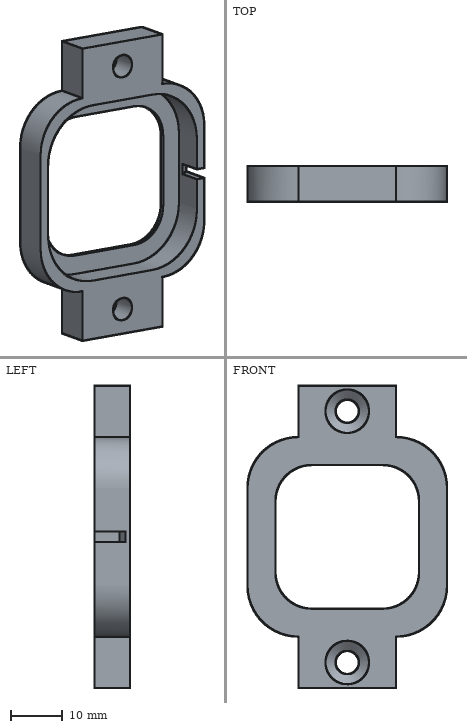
import cadquery as cq

height = 59.0
frame_size = 39.0
thickness = 7.0
frame_radius = 10.0
tab_width = frame_size - 2 * frame_radius
front_y = -thickness / 2
back_y = thickness / 2

window_size = 27.95
window_radius = 7.0
lip_thickness = 0.9
pocket_size = 35.4
pocket_radius = 10.6

hole_diameter = 4.5
countersink_diameter = 8.5
countersink_angle = 100
hole_spacing = 49.0

slot_height = 2.0
slot_ramp_rise = 1.2


def rounded_block(size, radius, start_y, end_y):
    """Square block with rounded corners, extending along Y."""
    block = cq.Workplane("XY").box(size, end_y - start_y, size)
    return block.edges("|Y").fillet(radius).translate((0, (start_y + end_y) / 2, 0))


body = rounded_block(frame_size, frame_radius, front_y, back_y)
body = body.union(cq.Workplane("XY").box(tab_width, thickness, height))

pocket_floor_y = front_y + lip_thickness
body = body.cut(rounded_block(window_size, window_radius, front_y, back_y))
pocket = rounded_block(pocket_size, pocket_radius, pocket_floor_y, back_y)
body = body.cut(pocket)

body = (
    body.faces("<Y").workplane(origin=(0, front_y, 0))
    .pushPoints([(0, -hole_spacing / 2), (0, hole_spacing / 2)])
    .cskHole(hole_diameter, countersink_diameter, countersink_angle)
)

outer_x = -frame_size / 2
pocket_x = -pocket_size / 2
slot = (
    cq.Workplane("XY", origin=(0, 0, -slot_height / 2))
    .moveTo(outer_x, pocket_floor_y)
    .lineTo(pocket_x, pocket_floor_y + slot_ramp_rise)
    .lineTo(pocket_x, back_y)
    .lineTo(outer_x, back_y)
    .close()
    .extrude(slot_height)
)
result = body.cut(slot)